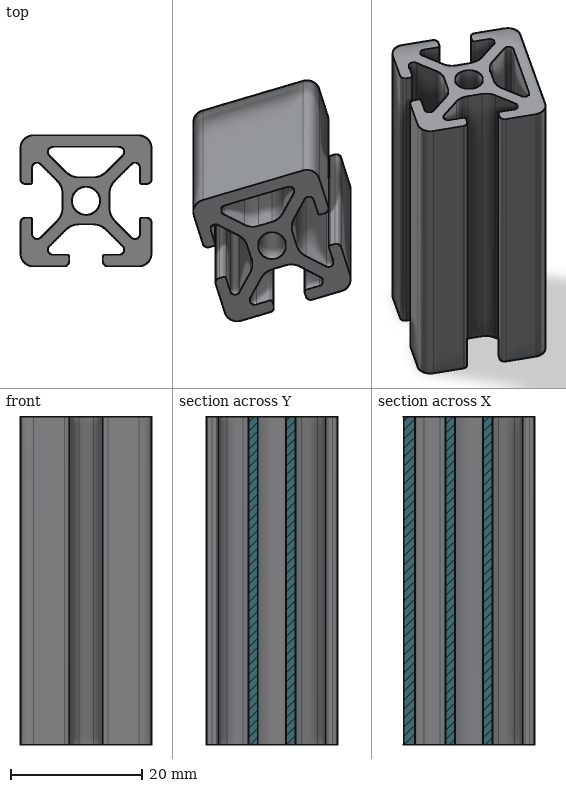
import cadquery as cq

side = 20.0
length = 50.0
corner_radius = 2.0

bore_diameter = 4.25
core_width = 7.2
wall = 1.8
web_thickness = 1.9

slot_opening = 5.1
core_fillet = 2.8
tip_fillet = 0.75
lip_outer_fillet = 0.8
lip_inner_fillet = 0.3

half_side = side / 2
core_face = core_width / 2
wall_face = half_side - wall
web_offset = web_thickness / 2**0.5
cavity_inner_half = core_face - web_offset
cavity_outer_half = wall_face - web_offset


def make_cavity():
    """Rounded trapezoidal cavity on the +Y side of the core."""
    outline = [
        (-cavity_inner_half, core_face),
        (cavity_inner_half, core_face),
        (cavity_outer_half, wall_face),
        (-cavity_outer_half, wall_face),
    ]
    cavity = cq.Workplane("XY").polyline(outline).close().extrude(length)
    cavity = cavity.edges("|Z and <Y").fillet(core_fillet)
    return cavity.edges("|Z and >Y").fillet(tip_fillet)


def make_opening():
    """Slot opening through the +Y wall, flared at both ends so that the lips are rounded."""
    half_opening = slot_opening / 2
    inner_half = half_opening + lip_inner_fillet
    outer_half = half_opening + lip_outer_fillet
    inner_end = wall_face + lip_inner_fillet
    outer_end = half_side - lip_outer_fillet
    return (
        cq.Workplane("XY")
        .moveTo(-inner_half, wall_face)
        .lineTo(inner_half, wall_face)
        .radiusArc((half_opening, inner_end), lip_inner_fillet)
        .lineTo(half_opening, outer_end)
        .radiusArc((outer_half, half_side), lip_outer_fillet)
        .lineTo(-outer_half, half_side)
        .radiusArc((-half_opening, outer_end), lip_outer_fillet)
        .lineTo(-half_opening, inner_end)
        .radiusArc((-inner_half, wall_face), lip_inner_fillet)
        .close()
        .extrude(length)
    )


def turn(body, angle):
    """Rotate a body about the long axis."""
    return body.rotate((0, 0, 0), (0, 0, 1), angle)


result = cq.Workplane("XY").rect(side, side).extrude(length)
result = result.edges("|Z").fillet(corner_radius)
result = result.faces(">Z").workplane().hole(bore_diameter)

for angle in (0, 90, 180, 270):
    result = result.cut(turn(make_cavity(), angle))
for angle in (90, 180, 270):
    result = result.cut(turn(make_opening(), angle))